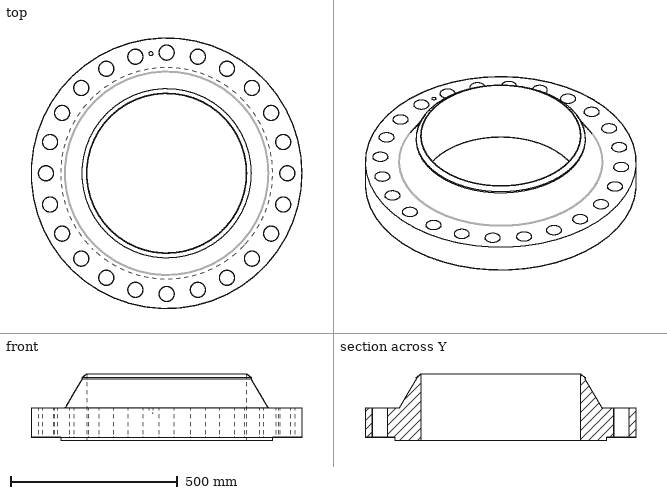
import cadquery as cq
import math

flange_diameter = 812.5
flange_thickness = 88.5

face_diameter = 635.5
face_height = 10.0

overall_height = 200.0
bore_diameter = 478.0
neck_diameter = 508.0
neck_base_diameter = 609.5
neck_base_fillet = 3.0
neck_straight_height = 5.0
bevel_height = 10.5
end_land_width = 2.0

bolt_count = 24
bolt_circle_diameter = 724.0
bolt_hole_diameter = 45.0

small_hole_diameter = 12.0
small_hole_depth = 16.0
drill_point_angle = 118.0

flange_top = face_height + flange_thickness
bevel_bottom = overall_height - bevel_height
cone_top = bevel_bottom - neck_straight_height
bore_radius = bore_diameter / 2
bolt_pitch_angle = 360 / bolt_count
small_hole_angle = 90 + bolt_pitch_angle / 2


def point_on_bolt_circle(angle):
    """X and Y of the point at the given angle in degrees from +X."""
    radius = bolt_circle_diameter / 2
    return radius * math.cos(math.radians(angle)), radius * math.sin(math.radians(angle))


def flange_body():
    """Flange, raised face and bored neck, revolved about Z from a half section."""
    cone_slope = math.atan2(cone_top - flange_top, (neck_base_diameter - neck_diameter) / 2)
    fillet_setback = neck_base_fillet * math.tan(cone_slope / 2)
    fillet_end = (
        neck_base_diameter / 2 - fillet_setback * math.cos(cone_slope),
        flange_top + fillet_setback * math.sin(cone_slope),
    )
    half_section = (
        cq.Workplane("XZ")
        .moveTo(bore_radius, 0)
        .lineTo(face_diameter / 2, 0)
        .lineTo(face_diameter / 2, face_height)
        .lineTo(flange_diameter / 2, face_height)
        .lineTo(flange_diameter / 2, flange_top)
        .lineTo(neck_base_diameter / 2 + fillet_setback, flange_top)
        .tangentArcPoint(fillet_end, relative=False)
        .lineTo(neck_diameter / 2, cone_top)
        .lineTo(neck_diameter / 2, bevel_bottom)
        .lineTo(bore_radius + end_land_width, overall_height)
        .lineTo(bore_radius, overall_height)
        .close()
    )
    return half_section.revolve(360, (0, 0, 0), (0, 1, 0))


def bolt_holes():
    """Through holes evenly spaced on the bolt circle."""
    centres = [point_on_bolt_circle(index * bolt_pitch_angle) for index in range(bolt_count)]
    return cq.Workplane("XY").pushPoints(centres).circle(bolt_hole_diameter / 2).extrude(flange_top)


def small_hole():
    """Blind hole with a conical drill point, sunk from the top of the flange."""
    radius = small_hole_diameter / 2
    point_depth = radius / math.tan(math.radians(drill_point_angle / 2))
    x, y = point_on_bolt_circle(small_hole_angle)
    half_section = (
        cq.Workplane("XZ")
        .moveTo(0, 0)
        .lineTo(radius, 0)
        .lineTo(radius, -small_hole_depth)
        .lineTo(0, -small_hole_depth - point_depth)
        .close()
    )
    drill = half_section.revolve(360, (0, 0, 0), (0, 1, 0))
    return drill.translate((x, y, flange_top))


result = flange_body().cut(bolt_holes()).cut(small_hole())